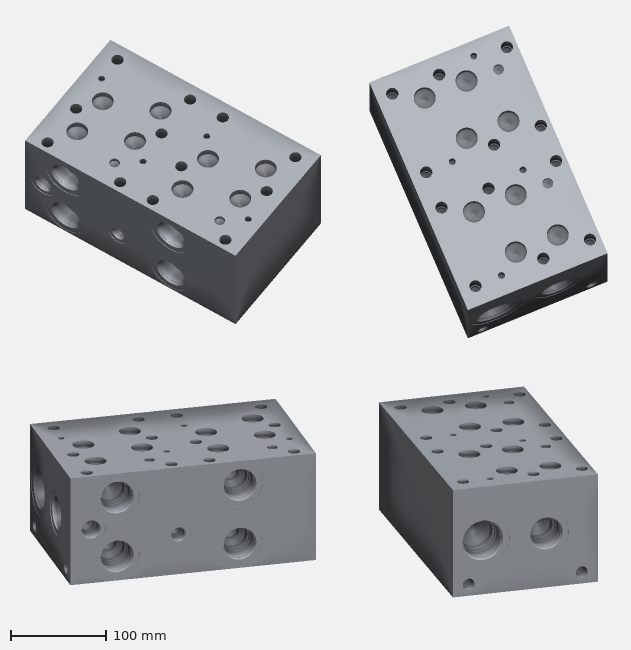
import cadquery as cq
import math

LENGTH = 266.7
WIDTH = 158.7
HEIGHT = 120.5

DRILL_POINT_ANGLE = 118
STATION_PITCH = 133.4
SPOTFACE_DEPTH = 0.5

DOWN = (0, 0, -1)
FROM_FRONT = (0, 1, 0)
FROM_END = (1, 0, 0)

WORK_PORT = dict(
    spotface=49.0, mouth=35.7, throat=34.0, thread=33.3, tap_drill=31.2, drill=28.5,
    mouth_depth=3.2, thread_depth=19.2, tap_depth=23.0, drill_depth=32,
)
PRESSURE_PORT = dict(WORK_PORT, drill=27.0)
TANK_PORT = dict(
    spotface=59.0, mouth=44.3, throat=42.0, thread=41.3, tap_drill=39.2, drill=35.5,
    mouth_depth=3.2, thread_depth=19.2, tap_depth=23.0, drill_depth=32,
)
PILOT_PORT = dict(
    spotface=30.7, mouth=20.5, throat=19.2, thread=19.0, tap_drill=17.5, drill=15.2,
    mouth_depth=2.5, thread_depth=14.5, tap_depth=16.5, drill_depth=21.3,
)
GAUGE_PORT = dict(
    spotface=25.5, mouth=15.7, throat=14.7, thread=14.5, tap_drill=12.8, drill=10.7,
    mouth_depth=2.5, thread_depth=12.8, tap_depth=15.0, drill_depth=18.7,
)

PORT_X = 51.0
PORT_A_Z = 27.0
PORT_B_Z = 93.3
PASSAGE_DIAMETER = 16.5
PASSAGE_DEPTH = 42.7
Y_PORT = (22.7, 60.3)
GA_PORT = (117.5, 44.5)

T_PORT = (126.0, HEIGHT / 2)
P_PORT = (56.3, HEIGHT / 2)
END_BOLTS = [(17.5, 12.8), (141.4, 12.8)]

BOLT_THREAD = 12.8
BOLT_DRILL = 10.7
BOLT_THREAD_DEPTH = 20.0
BOLT_DRILL_DEPTH = 24

STATION_BOLTS = [(20.8, 11.2), (20.8, 64.3), (20.8, 141.4), (112.8, 11.2), (112.8, 88), (112.8, 141.4)]
FLOW_HOLES = [(38.5, 40.5), (38.5, 88), (95.5, 64.3), (95.5, 111.7)]
FLOW_DIAMETER = 23.0
FLOW_DEPTH = 7.0
PIN_HOLES = [(20.8, 111.7), (117.3, 47.0)]
PIN_DIAMETER = 7.2
PIN_DEPTH = 8
DRAIN_HOLE = (94.0, 28.5)
DRAIN_DIAMETER = 11.2
DRAIN_DEPTH = 3.7


def revolved_cutter(sections, origin, axis):
    """Round cutter along axis: sections are (depth, radius) pairs, closed by a drill-point cone."""
    last_depth, last_radius = sections[-1]
    tip_depth = last_depth + last_radius / math.tan(math.radians(DRILL_POINT_ANGLE / 2))
    profile = [(0, 0)] + [(radius, depth) for depth, radius in sections] + [(0, tip_depth)]
    radial = (0, 1, 0) if axis == FROM_END else (1, 0, 0)
    normal = cq.Vector(*radial).cross(cq.Vector(*axis))
    plane = cq.Plane(origin=origin, xDir=radial, normal=normal)
    return cq.Workplane(plane).polyline(profile).close().revolve(360, (0, 0), (0, 1))


def plain_hole(diameter, depth, x, y):
    """Blind drilled hole in the top face."""
    radius = diameter / 2
    return revolved_cutter([(0, radius), (depth, radius)], (x, y, HEIGHT), DOWN)


def bolt_hole(origin, axis):
    """Tapped hole: thread diameter over a deeper tap drill."""
    thread = BOLT_THREAD / 2
    drill = BOLT_DRILL / 2
    sections = [
        (0, thread),
        (BOLT_THREAD_DEPTH, thread),
        (BOLT_THREAD_DEPTH, drill),
        (BOLT_DRILL_DEPTH, drill),
    ]
    return revolved_cutter(sections, origin, axis)


def port(size, origin, axis):
    """Threaded port with a shallow spotface and a tapered mouth."""
    spotface = size["spotface"] / 2
    mouth = size["mouth"] / 2
    throat = size["throat"] / 2
    thread = size["thread"] / 2
    tap_drill = size["tap_drill"] / 2
    drill = size["drill"] / 2
    sections = [
        (0, spotface),
        (SPOTFACE_DEPTH, spotface),
        (SPOTFACE_DEPTH, mouth),
        (size["mouth_depth"], throat),
        (size["mouth_depth"], thread),
        (size["thread_depth"], thread),
        (size["thread_depth"], tap_drill),
        (size["tap_depth"], tap_drill),
        (size["tap_depth"], drill),
        (size["drill_depth"], drill),
    ]
    return revolved_cutter(sections, origin, axis)


def front_port(size, x, z):
    return port(size, (x, 0, z), FROM_FRONT)


def end_port(size, y, z):
    return port(size, (0, y, z), FROM_END)


def passage(x, z):
    """Smaller bore on the axis of a work port."""
    radius = PASSAGE_DIAMETER / 2
    return revolved_cutter([(0, radius), (PASSAGE_DEPTH, radius)], (x, 0, z), FROM_FRONT)


cutters = []

for shift in (0, STATION_PITCH):
    cutters += [bolt_hole((x + shift, y, HEIGHT), DOWN) for x, y in STATION_BOLTS]
    cutters += [plain_hole(FLOW_DIAMETER, FLOW_DEPTH, x + shift, y) for x, y in FLOW_HOLES]
    cutters += [plain_hole(PIN_DIAMETER, PIN_DEPTH, x + shift, y) for x, y in PIN_HOLES]
    cutters.append(plain_hole(DRAIN_DIAMETER, DRAIN_DEPTH, DRAIN_HOLE[0] + shift, DRAIN_HOLE[1]))
    cutters += [front_port(WORK_PORT, PORT_X + shift, z) for z in (PORT_A_Z, PORT_B_Z)]

second_port_x = PORT_X + STATION_PITCH
for x, z in [(PORT_X, PORT_A_Z), (second_port_x, PORT_A_Z), (second_port_x, PORT_B_Z)]:
    cutters.append(passage(x, z))

cutters.append(front_port(PILOT_PORT, *Y_PORT))
cutters.append(front_port(GAUGE_PORT, *GA_PORT))

cutters.append(end_port(PRESSURE_PORT, *P_PORT))
cutters.append(end_port(TANK_PORT, *T_PORT))
cutters += [bolt_hole((0, y, z), FROM_END) for y, z in END_BOLTS]

result = cq.Workplane("XY").box(LENGTH, WIDTH, HEIGHT, centered=False)
for cutter in cutters:
    result = result.cut(cutter)